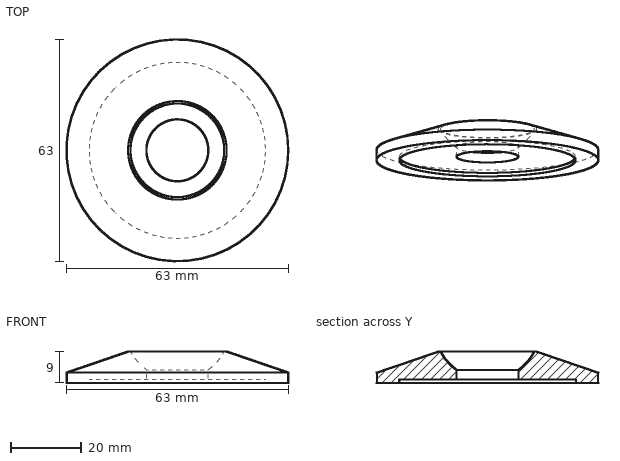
import cadquery as cq
import math

disc_diameter = 63.0
height = 9.0
rim_height = 3.0
top_diameter = 28.0

seat_diameter = 26.6
sphere_diameter = 30.0
hole_diameter = 17.5

relief_diameter = 50.0
relief_depth = 1.0

disc_radius = disc_diameter / 2
top_radius = top_diameter / 2
sphere_radius = sphere_diameter / 2

sphere_rise = math.sqrt(sphere_radius**2 - (seat_diameter / 2) ** 2)

body = (
    cq.Workplane("XZ")
    .moveTo(0, 0)
    .lineTo(disc_radius, 0)
    .lineTo(disc_radius, rim_height)
    .lineTo(top_radius, height)
    .lineTo(0, height)
    .close()
    .revolve(360, (0, 0, 0), (0, 1, 0))
)

seat = cq.Workplane("XY").sphere(sphere_radius).translate((0, 0, height + sphere_rise))
hole = cq.Workplane("XY").circle(hole_diameter / 2).extrude(height)
relief = cq.Workplane("XY").circle(relief_diameter / 2).extrude(relief_depth)

result = body.cut(seat).cut(hole).cut(relief)